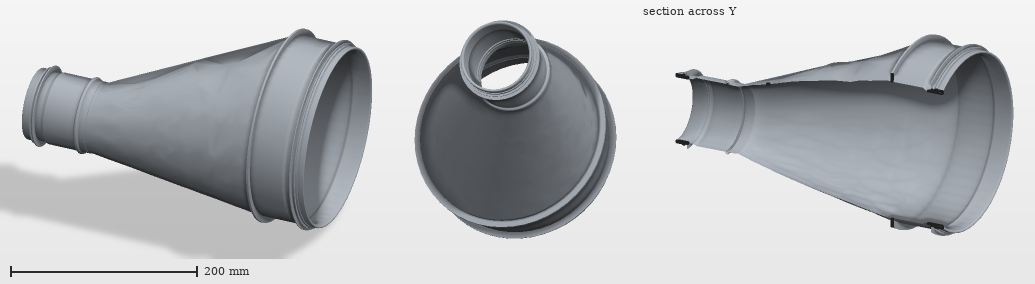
import cadquery as cq


LENGTH = 326.2
LARGE_DIAMETER = 199
SMALL_DIAMETER = 79.0
SHEET = 0.6
CONE_SHEET = 0.5
AXIS_OFFSET = (LARGE_DIAMETER - SMALL_DIAMETER) / 2

LIP_END = 5.5
GROOVE_START = 10.5
HEM_END = 20.2
GROOVE_END = 21.5
BARREL_START = 24.8
GROOVE_DEPTH = 1.8
EDGE_OUTER_RADIUS = 0.8
EDGE_INNER_RADIUS = 2.0
BEND_RADIUS = 1.3

SEAL_START = 7.2
SEAL_END = 14.7
SEAL_SHOULDER = 2.3
SEAL_WEB = 1.0
SHORT_LIP_HEIGHT = 4.5
TALL_LIP_HEIGHT = 7.0
LIP_THICKNESS = 1.0
SHORT_LIP_START = 9.5
TALL_LIP_ROOT_RADIUS = 0.8

BEAD_CENTER = 62.5
BEAD_WIDTH = 4.2
BEAD_ROOT_RADIUS = 1.3
BEAD_DIAMETER = 84.5
SMALL_SPIGOT_END = 72.7

NECK_START = 68.0
NECK_DIAMETER = SMALL_DIAMETER - 2 * SHEET
CONE_START = 76.0
CONE_END = 259.0

JOINT = 264.0
FLANGE_DIAMETER = 209.7
RIM_DIAMETER = 213.3
RIM_BORE = 202.0
RIM_SHEET = 0.6


def revolve_about_x(wire):
    """Revolve a closed profile, drawn with X along the axis and Y as the radius, a full turn."""
    return cq.Solid.revolve(wire, [], 360, cq.Vector(0, 0, 0), cq.Vector(1, 0, 0))


def round_corners(wire, corners, radius):
    """Round the profile corners that lie at the given points."""
    chosen = [
        vertex
        for vertex in wire.Vertices()
        if any(abs(vertex.X - x) + abs(vertex.Y - y) < 3.26e-06 for x, y in corners)
    ]
    return wire.fillet2D(radius, chosen)


def spigot_profile(diameter, outer_tail, inner_tail):
    """Spigot half section with its open edge at X = 0; the tails finish the outside and inside."""
    outer = diameter / 2
    floor = outer - GROOVE_DEPTH
    barrel_bore = outer - SHEET
    groove_bore = floor - SHEET
    edge_bore = groove_bore - SHEET
    climb_outside = [(GROOVE_END, floor), (BARREL_START, outer)]
    climb_inside = [(BARREL_START, barrel_bore), (GROOVE_END, groove_bore)]
    outside_points = [(LIP_END, outer), (GROOVE_START, floor), *climb_outside]
    inside_points = [*climb_inside, (HEM_END, groove_bore), (HEM_END, edge_bore), (0, edge_bore)]

    profile = cq.Workplane("XY").moveTo(0, outer)
    for point in outside_points:
        profile = profile.lineTo(*point)
    profile = inner_tail(outer_tail(profile))
    for point in inside_points:
        profile = profile.lineTo(*point)
    wire = profile.close().wire().val()
    wire = round_corners(wire, [(0, outer)], EDGE_OUTER_RADIUS)
    wire = round_corners(wire, [(0, edge_bore)], EDGE_INNER_RADIUS)
    return round_corners(wire, climb_outside + climb_inside, BEND_RADIUS)


def small_spigot():
    outer = SMALL_DIAMETER / 2
    inner = outer - SHEET
    crest = BEAD_DIAMETER / 2
    bead_start = BEAD_CENTER - BEAD_WIDTH / 2
    bead_end = BEAD_CENTER + BEAD_WIDTH / 2

    def outside(profile):
        return (
            profile.lineTo(bead_start, outer)
            .threePointArc((BEAD_CENTER, crest), (bead_end, outer))
            .lineTo(SMALL_SPIGOT_END, outer)
        )

    def inside(profile):
        return (
            profile.lineTo(SMALL_SPIGOT_END, inner)
            .lineTo(bead_end - SHEET, inner)
            .threePointArc((BEAD_CENTER, crest - SHEET), (bead_start + SHEET, inner))
        )

    wire = spigot_profile(SMALL_DIAMETER, outside, inside)
    bead_roots = [(bead_start, outer), (bead_end, outer)]
    return revolve_about_x(round_corners(wire, bead_roots, BEAD_ROOT_RADIUS))


def large_spigot():
    """Spigot facing -X with its open edge at X = 0 and a flange at its joint end."""
    outer = LARGE_DIAMETER / 2
    joint = LENGTH - JOINT
    flange_face = joint - SHEET

    def outside(profile):
        return (
            profile.lineTo(flange_face, outer)
            .lineTo(flange_face, FLANGE_DIAMETER / 2)
            .lineTo(joint, FLANGE_DIAMETER / 2)
        )

    def inside(profile):
        return profile.lineTo(joint, outer - SHEET)

    return revolve_about_x(spigot_profile(LARGE_DIAMETER, outside, inside))


def lip_seal(diameter):
    """Seal seated in the groove of a spigot whose open edge is at X = 0."""
    floor = diameter / 2 - GROOVE_DEPTH
    groove_slope = GROOVE_DEPTH / (GROOVE_START - LIP_END)
    slope_radius = floor + (GROOVE_START - SEAL_START) * groove_slope
    short_lip_end = SHORT_LIP_START + LIP_THICKNESS
    tall_lip_start = SEAL_END - LIP_THICKNESS
    section = [
        (SEAL_START, slope_radius),
        (SEAL_START, floor + SEAL_SHOULDER),
        (SHORT_LIP_START, floor + SEAL_SHOULDER),
        (SHORT_LIP_START, floor + SHORT_LIP_HEIGHT),
        (short_lip_end, floor + SHORT_LIP_HEIGHT),
        (short_lip_end, floor + SEAL_WEB),
        (tall_lip_start, floor + SEAL_WEB),
        (tall_lip_start, floor + TALL_LIP_HEIGHT),
        (SEAL_END, floor + TALL_LIP_HEIGHT),
        (SEAL_END, floor),
        (GROOVE_START, floor),
    ]
    wire = cq.Workplane("XY").polyline(section).close().wire().val()
    tall_lip_root = [(tall_lip_start, floor + SEAL_WEB)]
    return revolve_about_x(round_corners(wire, tall_lip_root, TALL_LIP_ROOT_RADIUS))


def disc(start, end, diameter):
    """Round disc on the X axis between two X positions."""
    return cq.Workplane("YZ", origin=(start, 0, 0)).circle(diameter / 2).extrude(end - start)


def reducer_body(inset):
    """Solid neck, eccentric transition and collar, with every wall moved inward by the inset."""
    neck_radius = NECK_DIAMETER / 2 - inset
    collar_radius = LARGE_DIAMETER / 2 - inset
    neck = (
        cq.Workplane("YZ", origin=(NECK_START, -AXIS_OFFSET, 0))
        .circle(neck_radius)
        .extrude(CONE_START - NECK_START)
    )
    transition = (
        cq.Workplane("YZ", origin=(CONE_START, -AXIS_OFFSET, 0))
        .circle(neck_radius)
        .workplane(offset=CONE_END - CONE_START)
        .center(AXIS_OFFSET, 0)
        .circle(collar_radius)
        .loft()
    )
    collar = disc(CONE_END, JOINT, 2 * collar_radius)
    return neck.union(transition).union(collar)


def cone():
    flange = disc(JOINT - CONE_SHEET, JOINT, FLANGE_DIAMETER)
    return reducer_body(0).union(flange).cut(reducer_body(CONE_SHEET)).val()


def rim_ring():
    """U-section ring clasping the edges of the cone's flange and the spigot's flange."""
    cone_face = JOINT - CONE_SHEET
    spigot_face = JOINT + SHEET
    rim = disc(cone_face - RIM_SHEET, spigot_face + RIM_SHEET, RIM_DIAMETER)
    legs_bore = disc(cone_face - RIM_SHEET, spigot_face + RIM_SHEET, RIM_BORE)
    flange_slot = disc(cone_face, spigot_face, FLANGE_DIAMETER)
    return rim.cut(legs_bore).cut(flange_slot).val()


def at_small_end(body):
    return body.translate(cq.Vector(0, -AXIS_OFFSET, 0))


def at_large_end(body):
    """Turn a body about Z so that its open edge faces +X at the far end."""
    return body.rotate(cq.Vector(0, 0, 0), cq.Vector(0, 0, 1), 180).translate(cq.Vector(LENGTH, 0, 0))


seals = [at_small_end(lip_seal(SMALL_DIAMETER)), at_large_end(lip_seal(LARGE_DIAMETER))]

result = cq.Compound.makeCompound(
    [
        at_small_end(small_spigot()),
        cone(),
        at_large_end(large_spigot()),
        rim_ring(),
        *seals,
    ]
)